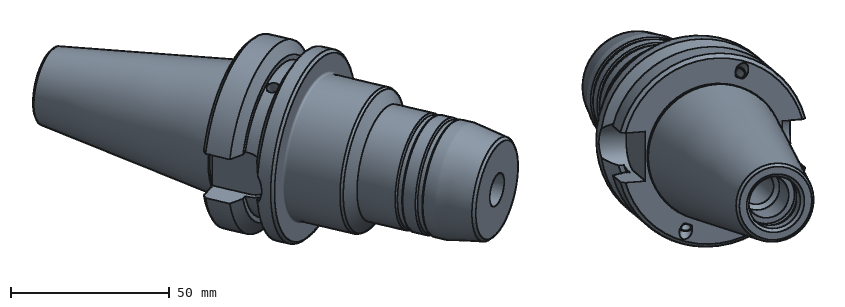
import cadquery as cq
import math

total_length = 155.4
gauge_x = 65.5
flange_start_x = 67.1
flange_end_x = 92.3

gauge_radius = 22.2
taper_half_rate = 7 / 24 / 2
shank_end_radius = gauge_radius - gauge_x * taper_half_rate
shank_chamfer = 0.8
neck_start_x = 65.9
neck_radius = 44.0 / 2

flange_radius = 63.0 / 2
front_chamfer = 1.2
rear_chamfer = 1.0
groove_mid_x = 81.7
groove_mouth_half_width = 5.0
groove_floor_half_width = 2.5
groove_shoulder_radius = 27.2
groove_floor_radius = 25.5

body_radius = 47.5 / 2
body_fillet = 0.8
body_end_x = 112.8
body_edge_length = 1.0
body_edge_drop = 0.5
nose_radius = 38.0 / 2
nose_start_x = 115.6
nose_taper_x = 142.7
nose_end_radius = 17.0
nose_chamfer = 1.0

ring_groove_starts = (128.8, 135.8)
ring_groove_width = 2.6
ring_groove_radius = 37.0 / 2
ring_groove_depth = nose_radius - ring_groove_radius

mouth_radius = 9.5
pilot_radius = 17.0 / 2
pilot_end_x = 5.3
relief_radius = 17.5 / 2
relief_end_x = 8.5
seat_radius = 13.8 / 2
seat_end_x = 18.6
through_radius = 10.9 / 2

slot_width = 16.2
slot_floor_y = 22.5
slot_end_x = 88.3

coolant_roll = 20.0
coolant_tilt = 40.0
coolant_entry_radius = 27.0
coolant_entry_diameter = 4.0
coolant_entry_depth = 1.5
coolant_diameter = 3.3


def turned_body():
    """Revolve the outer outline around the X axis."""
    mouth_start_x = groove_mid_x - groove_mouth_half_width
    mouth_end_x = groove_mid_x + groove_mouth_half_width
    floor_start_x = groove_mid_x - groove_floor_half_width
    floor_end_x = groove_mid_x + groove_floor_half_width
    fillet_sag = body_fillet * (1 - math.sqrt(0.5))
    outline = (
        cq.Workplane("XY")
        .moveTo(0, 0)
        .lineTo(0, shank_end_radius - shank_chamfer)
        .lineTo(shank_chamfer, shank_end_radius + shank_chamfer * taper_half_rate)
        .lineTo(gauge_x, gauge_radius)
        .lineTo(neck_start_x, neck_radius)
        .lineTo(flange_start_x, neck_radius)
        .lineTo(flange_start_x, flange_radius - front_chamfer)
        .lineTo(flange_start_x + front_chamfer, flange_radius)
        .lineTo(mouth_start_x, flange_radius)
        .lineTo(floor_start_x, groove_shoulder_radius)
        .lineTo(floor_start_x, groove_floor_radius)
        .lineTo(floor_end_x, groove_floor_radius)
        .lineTo(floor_end_x, groove_shoulder_radius)
        .lineTo(mouth_end_x, flange_radius)
        .lineTo(flange_end_x - rear_chamfer, flange_radius)
        .lineTo(flange_end_x, flange_radius - rear_chamfer)
        .lineTo(flange_end_x, body_radius + body_fillet)
        .threePointArc(
            (flange_end_x + fillet_sag, body_radius + fillet_sag),
            (flange_end_x + body_fillet, body_radius),
        )
        .lineTo(body_end_x - body_edge_length, body_radius)
        .lineTo(body_end_x, body_radius - body_edge_drop)
        .lineTo(nose_start_x, nose_radius)
        .lineTo(nose_taper_x, nose_radius)
        .lineTo(total_length - nose_chamfer, nose_end_radius)
        .lineTo(total_length, nose_end_radius - nose_chamfer)
        .lineTo(total_length, 0)
        .close()
    )
    return outline.revolve(360, (0, 0, 0), (1, 0, 0))


def ring_groove(start_x):
    """Ring-shaped cutter with walls sloped at 45 degrees."""
    end_x = start_x + ring_groove_width
    section = [
        (start_x, nose_radius),
        (start_x + ring_groove_depth, ring_groove_radius),
        (end_x - ring_groove_depth, ring_groove_radius),
        (end_x, nose_radius),
    ]
    return cq.Workplane("XY").polyline(section).close().revolve(360, (0, 0, 0), (1, 0, 0))


def stepped_bore():
    """Chamfered pilot, wider relief, seat with a conical end and through hole."""
    mouth_depth = mouth_radius - pilot_radius
    cone_length = seat_radius - through_radius
    section = [
        (0, 0),
        (0, mouth_radius),
        (mouth_depth, pilot_radius),
        (pilot_end_x, pilot_radius),
        (pilot_end_x, relief_radius),
        (relief_end_x, relief_radius),
        (relief_end_x, seat_radius),
        (seat_end_x, seat_radius),
        (seat_end_x + cone_length, through_radius),
        (total_length, through_radius),
        (total_length, 0),
    ]
    return cq.Workplane("XY").polyline(section).close().revolve(360, (0, 0, 0), (1, 0, 0))


def drive_slot(side):
    """Round-ended slot on the +Y (side = 1) or -Y (side = -1) flank."""
    end_radius = slot_width / 2
    end_center_x = slot_end_x - end_radius
    straight_length = end_center_x - gauge_x
    depth = flange_radius - slot_floor_y
    mid_y = side * (slot_floor_y + depth / 2)
    straight = cq.Workplane("XY").box(straight_length, depth, slot_width)
    straight = straight.translate((gauge_x + straight_length / 2, mid_y, 0))
    round_end = (
        cq.Workplane("XZ")
        .circle(end_radius)
        .extrude(depth / 2, both=True)
        .translate((end_center_x, mid_y, 0))
    )
    return straight.union(round_end)


def cylinder(start, direction, diameter, length):
    """Cylinder from a start point along a direction."""
    solid = cq.Solid.makeCylinder(diameter / 2, length, cq.Vector(*start), cq.Vector(*direction))
    return cq.Workplane(solid)


def coolant_passage(roll):
    """Tilted hole from the flange face meeting a radial hole from the groove floor."""
    tilt = math.radians(coolant_tilt)
    inward = (math.cos(tilt), 0, -math.sin(tilt))
    run = groove_mid_x - flange_start_x
    meeting_radius = coolant_entry_radius - run * math.tan(tilt)
    lead = coolant_entry_diameter
    start = (
        flange_start_x - lead * inward[0],
        0,
        coolant_entry_radius - lead * inward[2],
    )
    entry = cylinder(start, inward, coolant_entry_diameter, lead + coolant_entry_depth)
    tilted = cylinder(start, inward, coolant_diameter, lead + run / math.cos(tilt))
    radial = cylinder(
        (groove_mid_x, 0, meeting_radius),
        (0, 0, 1),
        coolant_entry_diameter,
        flange_radius - meeting_radius,
    )
    return entry.union(tilted).union(radial).rotate((0, 0, 0), (1, 0, 0), roll)


result = turned_body().cut(stepped_bore())
for groove_start in ring_groove_starts:
    result = result.cut(ring_groove(groove_start))
for slot_side in (1, -1):
    result = result.cut(drive_slot(slot_side))
for half_turn in (0, 180):
    result = result.cut(coolant_passage(coolant_roll + half_turn))